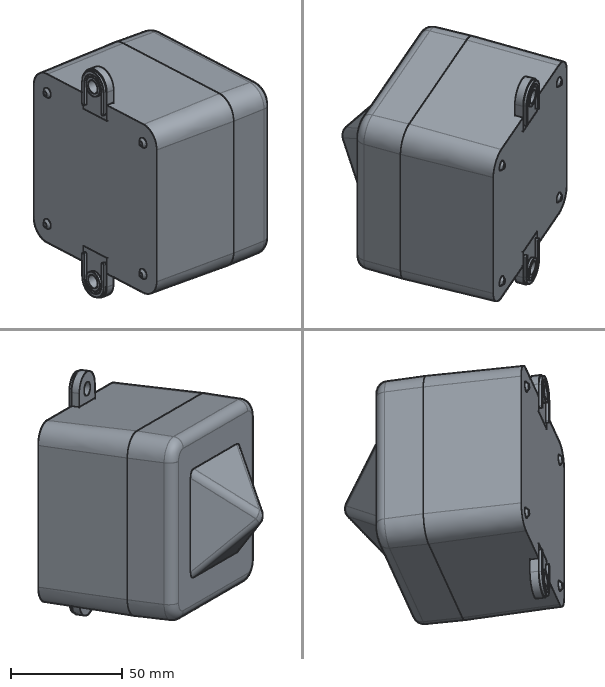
import cadquery as cq
import math


parting_width = 86.4
corner_radius = 10.0
draft_angle = 1.0
base_depth = 45.0
lid_depth = 22.9
edge_radius = 4.9

pyramid_height = 23.4

lug_tip = 57.1
lug_width = 16.2
lug_thickness = 4.0
lug_root = 34.5
hole_diameter = 6.4
rim_diameter = 9.4
rib_outer_width = 15.0
rib_thickness = 1.6
rib_end = 37.1
standoff = 1.4

foot_spacing = 66.0
foot_diameter = 4.9
foot_tip_diameter = 2.3

lid_face = base_depth + lid_depth
hole_height = lug_tip - lug_width / 2


def plane_facing_pyramid(y):
    """Work plane at depth y with its normal along +Y; its axes are Z and X."""
    return cq.Workplane("ZX", origin=(0, y, 0))


def plane_facing_wall(y):
    """Work plane at depth y with its normal along -Y; its axes are X and Z."""
    return cq.Workplane("XZ", origin=(0, y, 0))


def tapered_block(plane, depth):
    """Rounded square block that starts at the parting width and narrows by the draft angle."""
    profile = plane.sketch().rect(parting_width, parting_width).vertices().fillet(corner_radius).finalize()
    return profile.extrude(depth, taper=draft_angle)


def make_pyramid():
    """Pyramid with rounded ridges that meet in a spherical tip."""
    tip_loss = edge_radius * (math.sqrt(2) - 1)
    sharp_height = pyramid_height + tip_loss
    apex = cq.Vector(0, lid_face + sharp_height, 0)
    half = sharp_height
    corners = [cq.Vector(x * half, lid_face, z * half) for x, z in ((-1, -1), (1, -1), (1, 1), (-1, 1))]
    faces = [cq.Face.makeFromWires(cq.Wire.makePolygon(corners, close=True))]
    for start, end in zip(corners, corners[1:] + corners[:1]):
        triangle = [start, end, apex]
        faces.append(cq.Face.makeFromWires(cq.Wire.makePolygon(triangle, close=True)))
    pyramid = cq.Workplane(cq.Solid.makeSolid(cq.Shell.makeShell(faces)))
    ridges = pyramid.edges("not #Y")
    return ridges.fillet(edge_radius)


def make_lid():
    """Front half of the enclosure with a rounded rim and the pyramid on its face."""
    block = tapered_block(plane_facing_pyramid(base_depth), lid_depth)
    return block.faces(">Y").edges().fillet(edge_radius).union(make_pyramid())


def lug_plate():
    """Tongue with one round end, set flush into the mounting face."""
    half = lug_width / 2
    return (
        plane_facing_wall(lug_thickness)
        .moveTo(-half, lug_root)
        .lineTo(-half, hole_height)
        .threePointArc((0, lug_tip), (half, hole_height))
        .lineTo(half, lug_root)
        .close()
        .extrude(lug_thickness)
    )


def lug_rib():
    """U-shaped rib around the round end, with rounded leg ends."""
    outer = rib_outer_width / 2
    inner = outer - rib_thickness
    middle = outer - rib_thickness / 2
    leg_end = rib_end + rib_thickness / 2
    return (
        plane_facing_wall(0)
        .moveTo(-outer, leg_end)
        .lineTo(-outer, hole_height)
        .threePointArc((0, hole_height + outer), (outer, hole_height))
        .lineTo(outer, leg_end)
        .threePointArc((middle, rib_end), (inner, leg_end))
        .lineTo(inner, hole_height)
        .threePointArc((0, hole_height + inner), (-inner, hole_height))
        .lineTo(-inner, leg_end)
        .threePointArc((-middle, rib_end), (-outer, leg_end))
        .close()
        .extrude(standoff)
    )


def make_lug():
    """Upper mounting lug: plate, rib and rim with a through hole."""
    rim = plane_facing_wall(0).center(0, hole_height).circle(rim_diameter / 2).extrude(standoff)
    hole = (
        plane_facing_wall(lug_thickness)
        .center(0, hole_height)
        .circle(hole_diameter / 2)
        .extrude(lug_thickness + standoff)
    )
    return lug_plate().union(lug_rib()).union(rim).cut(hole)


def make_base():
    """Rear half of the enclosure with a recess for each lug."""
    base = tapered_block(plane_facing_wall(base_depth), base_depth)
    recess = lug_plate()
    return base.cut(recess).cut(recess.mirror("XY"))


def make_foot(x, z):
    """Conical foot standing on the mounting face."""
    return cq.Solid.makeCone(
        foot_diameter / 2, foot_tip_diameter / 2, standoff, pnt=cq.Vector(x, 0, z), dir=cq.Vector(0, -1, 0)
    )


base = make_base()
lid = make_lid()
upper_lug = make_lug()
lugs = [upper_lug, upper_lug.mirror("XY")]
feet = [make_foot(x * foot_spacing / 2, z * foot_spacing / 2) for x in (-1, 1) for z in (-1, 1)]

result = cq.Compound.makeCompound([base.val(), lid.val(), *[lug.val() for lug in lugs], *feet])